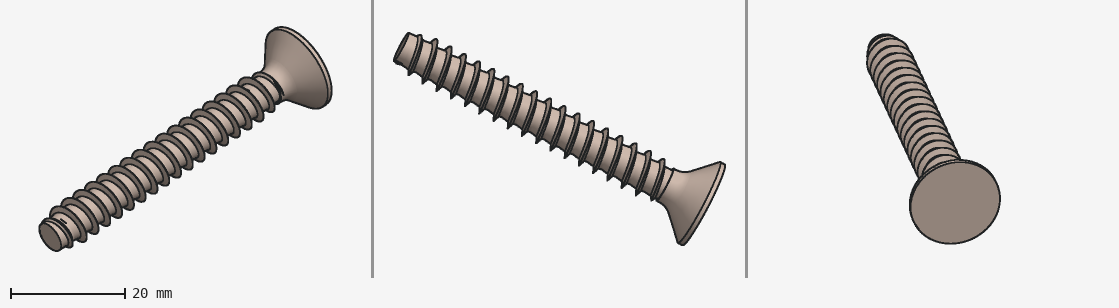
import cadquery as cq
import math


length = 60.0
head_radius = 8.0
rim_height = 0.92
shank_radius = 3.2
neck_fillet = 3.35
shank_end = 7.65
core_radius = 2.8

pitch = 2.825
crest_radius = 4.05
faded_crest_radius = 2.95
crest_width = 0.06
foot_offset = 0.47
head_side_foot_radius = 2.9
tip_side_foot_radius = 3.0
groove_offset = 1.0
groove_gap = 0.04
sunk_radius = core_radius - 0.008
thread_inner_radius = 2.3
first_full_depth = 10.55
full_turns = 16
run_in_turns = 1.6
run_out_turns = 1.35
points_per_turn = 12


def make_blank():
    """Head, countersink, filleted neck, shank and core as one turned body."""
    slope = math.radians(45)
    neck_start_radius = shank_radius + neck_fillet * (1 - math.cos(slope))
    neck_start = rim_height + head_radius - neck_start_radius
    neck_end = neck_start + neck_fillet * math.sin(slope)
    neck_middle = (
        shank_radius + neck_fillet * (1 - math.cos(slope / 2)),
        -(neck_end - neck_fillet * math.sin(slope / 2)),
    )
    return (
        cq.Workplane("XY")
        .lineTo(head_radius, 0)
        .lineTo(head_radius, -rim_height)
        .lineTo(neck_start_radius, -neck_start)
        .threePointArc(neck_middle, (shank_radius, -neck_end))
        .lineTo(shank_radius, -shank_end)
        .lineTo(core_radius, -shank_end)
        .lineTo(core_radius, -length)
        .lineTo(0, -length)
        .close()
        .revolve(360, (0, 0), (0, 1))
    )


def thread_height(turn):
    """Share of the full thread height, fading linearly to zero at both ends."""
    if turn < 0:
        return 1 + turn / run_in_turns
    if turn > full_turns:
        return 1 - (turn - full_turns) / run_out_turns
    return 1.0


def helix_edge(corner, start_turn, end_turn):
    """Helical edge traced by one profile corner between two turns, counted from the +Z side."""
    offset, full_radius, faded_radius = corner
    steps = math.ceil((end_turn - start_turn) * points_per_turn)
    points = []
    for i in range(steps + 1):
        turn = start_turn + (end_turn - start_turn) * i / steps
        angle = 2 * math.pi * turn
        radius = faded_radius + (full_radius - faded_radius) * thread_height(turn)
        depth = first_full_depth + pitch * turn + offset
        points.append(cq.Vector(-radius * math.sin(angle), -depth, radius * math.cos(angle)))
    return cq.Edge.makeSpline(points)


def make_thread_stretch(start_turn, end_turn):
    """Solid stretch of thread, ruled between the helical edges of its profile corners."""
    groove_end = pitch - groove_offset - groove_gap
    half_crest = crest_width / 2
    profile = [
        (-groove_offset, thread_inner_radius, thread_inner_radius),
        (-groove_offset, sunk_radius, sunk_radius),
        (-foot_offset, head_side_foot_radius, head_side_foot_radius),
        (-half_crest, crest_radius, faded_crest_radius),
        (half_crest, crest_radius, faded_crest_radius),
        (foot_offset, tip_side_foot_radius, sunk_radius),
        (groove_end, sunk_radius, sunk_radius),
        (groove_end, thread_inner_radius, thread_inner_radius),
    ]
    edges = [helix_edge(corner, start_turn, end_turn) for corner in profile]
    faces = []
    for i in range(len(edges)):
        faces.append(cq.Face.makeRuledSurface(edges[i - 1], edges[i]))
    for corners in ([e.startPoint() for e in edges], [e.endPoint() for e in edges]):
        outline = cq.Wire.makePolygon(corners, close=True)
        faces.append(cq.Face.makeFromWires(outline))
    return cq.Solid.makeSolid(cq.Shell.makeShell(faces))


def make_thread():
    """Run-in, full-height and run-out stretches, meeting end to end."""
    limits = [-run_in_turns, 0, full_turns, full_turns + run_out_turns]
    return [make_thread_stretch(start, end) for start, end in zip(limits, limits[1:])]


def beyond_tip():
    """Space past the tip face, where the run-out is cut off flush."""
    return cq.Workplane("XZ").workplane(offset=length).circle(head_radius).extrude(pitch)


screw = make_blank()
for stretch in make_thread():
    screw = screw.union(cq.Workplane(stretch))
result = screw.cut(beyond_tip())